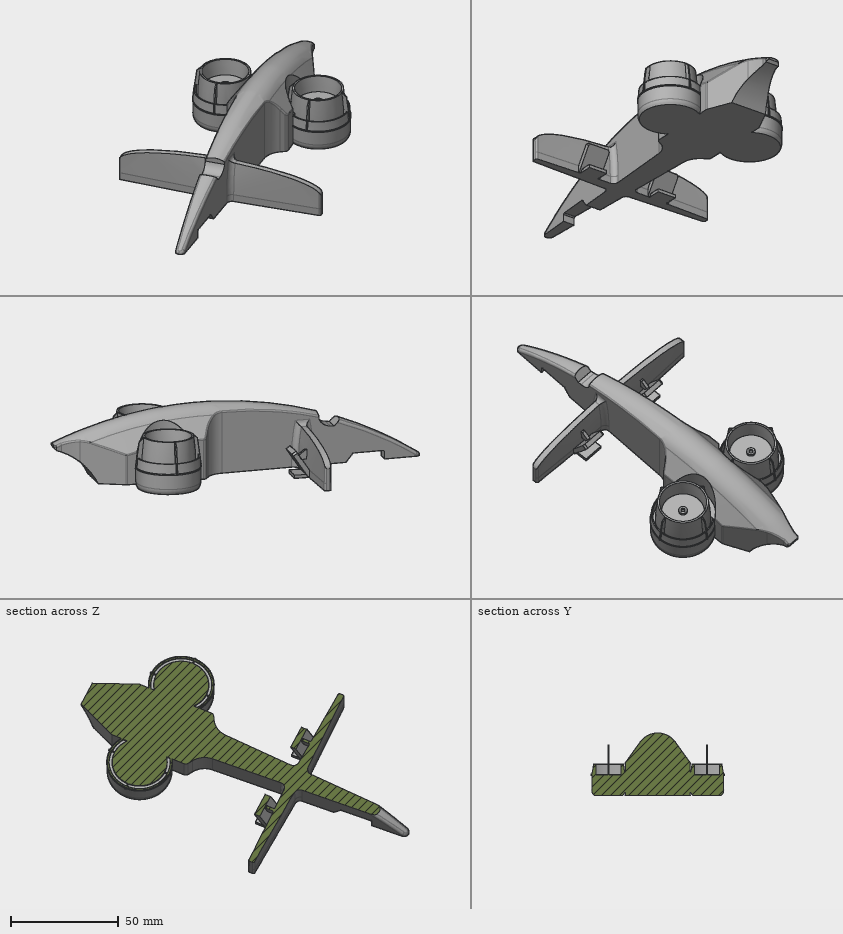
import cadquery as cq
import math

LENGTH = 177.39
HEIGHT = 32.98
WING_SPAN = 100.0
CUTTER_HALF_WIDTH = 60.0
TRIM_MARGIN = 1.0
TOLERANCE = 0.01

TAIL_TIP_HALF_WIDTH = 2.3
TAIL_TIP_FLAT = 0.1
NECK_HALF_WIDTH, NECK_Y = 7.2, 97.5
FLARE_ANGLE = math.radians(60)
FLARE_RADIUS = 10.0
BODY_HALF_WIDTH = 15.2
BODY_FRONT_Y = 145.6
BEAK_ROOT_HALF_WIDTH, BEAK_ROOT_Y = 6.3, 165.8
BEAK_HALF_WIDTH, BEAK_Y = 3.6, 174.0
BEAK_CORNER = 0.9

SPINE_RADIUS = 187.0
SPINE_PEAK_Y = 104.5
SPINE_AXIS_Z = HEIGHT - SPINE_RADIUS
CROWN_HALF_WIDTH = 8.2
CROWN_DROP = 4.15
CROWN_RADIUS = (CROWN_HALF_WIDTH**2 + CROWN_DROP**2) / (2 * CROWN_DROP)
SHOULDER_SLOPE = CROWN_HALF_WIDTH / (CROWN_RADIUS - CROWN_DROP)
ROOF_HALF_WIDTH = 18.0
SWEEP_MARGIN = 10.0
ROOF_EDGE_FILLET = 1.0
TAIL_EDGE_FILLET = 1.5
BODY_CORNER_FILLET = 2.0

BEAK_UNDERSIDE = [(157.9, 0.0), (166.0, 10.3), (176.3, 15.6)]
BEAK_TIP_Z = 17.0
NOTCH_FRONT_Y, NOTCH_STEP_Z = 49.8, 22.3
NOTCH_ARC_MID = (47.8, 19.6)
NOTCH_ARC_END = (44.4, 18.4)
NOTCH_FLOOR_Y, NOTCH_FLOOR_Z = 42.4, 18.1
NOTCH_RAMP_RUN = 6.0
RECESS_REAR_Y, RECESS_TOP_FRONT_Y, RECESS_FRONT_Y = 17.6, 33.1, 36.6
RECESS_HEIGHT = 4.2
RECESS_CORNER = 0.6

WING_Y = 57.8
WING_TIP_Z = 10.5
WING_TOP_Z = 20.0
WING_BASE_Z = 3.7
WING_ROOT_BASE, WING_ROOT_TOP = 3.1, 1.4
WING_END_BASE, WING_END_TOP = 1.6, 1.2
WING_BULGE = 0.25
WING_TIP_FILLET = 0.9
WING_ROOT_FILLET = 2.6

FLAP_X = 20.0
FLAP_WIDTH = 12.0
FLAP_TOP_Y, FLAP_TOP_Z = 66.5, 13.2
FLAP_FOOT_Y, FLAP_FOOT_Z = 58.7, 1.6
FLAP_THICKNESS = 2.4
FLAP_CORNER = 0.9
FLAP_RIB_WIDTH = 1.6
FLAP_RIB_TOP_Z, FLAP_RIB_KNEE_Z, FLAP_RIB_BOTTOM_Z = 12.3, 9.6, 7.8
FLAP_RIB_TOP_Y, FLAP_RIB_KNEE_Y = 60.8, 64.4
FLAP_PAD_WIDTH, FLAP_PAD_FRONT_Y, FLAP_PAD_HEIGHT = 10.0, 67.2, 1.6

ENGINE_X, ENGINE_Y = 23.0, 127.7
ENGINE_HEIGHT = 24.6
BARREL_RADIUS = 15.2
BARREL_BASE_RADIUS = 14.5
BARREL_BASE_Z = 2.7
BARREL_BASE_BULGE = (14.95, 0.9)
BAND_Z, BAND_WIDTH, BAND_PROUD = 9.8, 0.6, 0.2
RIM_Z, RIM_RADIUS, RIM_THICKNESS = 14.8, 14.8, 0.6
CUP_TOP_RADIUS, CUP_BASE_RADIUS = 11.9, 12.9
CUP_WAIST = (12.6, 18.0)
CUP_WALL = 0.9
CUP_FLOOR_RADIUS = 10.0
CUP_FLOOR_Z = 16.8
HUB_RADIUS, HUB_HEIGHT, HUB_HOLE_RADIUS = 2.0, 1.2, 1.0
FIN_THICKNESS = 0.6
FIN_TOP_RADIUS, FIN_SHOULDER_RADIUS, FIN_SHOULDER_Z = 12.0, 14.1, 22.5
FIN_BASE_RADIUS = 15.9


def mirrored(solid):
    """The solid joined with its mirror image across the centre plane."""
    return solid.union(solid.mirror("YZ"))


def plan_prism():
    """Plan outline of the fuselage, extruded to full height."""
    diagonal = TAIL_TIP_HALF_WIDTH * math.sqrt(0.5)
    tip_arc_middle = (diagonal, TAIL_TIP_HALF_WIDTH - diagonal)
    neck_lean = math.atan2(NECK_HALF_WIDTH - TAIL_TIP_HALF_WIDTH, NECK_Y - TAIL_TIP_HALF_WIDTH)
    flare_x = NECK_HALF_WIDTH + FLARE_RADIUS * (math.cos(neck_lean) - math.cos(FLARE_ANGLE))
    flare_y = NECK_Y + FLARE_RADIUS * (math.sin(FLARE_ANGLE) - math.sin(neck_lean))
    body_rear_y = flare_y + (BODY_HALF_WIDTH - flare_x) / math.tan(FLARE_ANGLE)
    half = (
        cq.Workplane("XY")
        .lineTo(TAIL_TIP_FLAT, 0)
        .threePointArc(tip_arc_middle, (TAIL_TIP_HALF_WIDTH, TAIL_TIP_HALF_WIDTH))
        .lineTo(NECK_HALF_WIDTH, NECK_Y)
        .tangentArcPoint((flare_x, flare_y), relative=False)
        .lineTo(BODY_HALF_WIDTH, body_rear_y)
        .lineTo(BODY_HALF_WIDTH, BODY_FRONT_Y)
        .lineTo(BEAK_ROOT_HALF_WIDTH, BEAK_ROOT_Y)
        .tangentArcPoint((BEAK_HALF_WIDTH, BEAK_Y), relative=False)
        .lineTo(BEAK_HALF_WIDTH, LENGTH - BEAK_CORNER)
        .lineTo(BEAK_HALF_WIDTH - BEAK_CORNER, LENGTH)
        .lineTo(0, LENGTH)
        .close()
        .extrude(HEIGHT)
    )
    return mirrored(half)


def roof():
    """Crowned section with sloping shoulders, swept round the spine arc."""
    edge_z = HEIGHT - CROWN_DROP
    outer_z = edge_z - SHOULDER_SLOPE * (ROOF_HALF_WIDTH - CROWN_HALF_WIDTH)
    sweep = 2 * math.degrees(math.asin(SPINE_PEAK_Y / SPINE_RADIUS)) + SWEEP_MARGIN
    section = (
        cq.Workplane("XZ", origin=(0, SPINE_PEAK_Y, 0))
        .moveTo(-ROOF_HALF_WIDTH, -HEIGHT)
        .lineTo(-ROOF_HALF_WIDTH, outer_z)
        .lineTo(-CROWN_HALF_WIDTH, edge_z)
        .threePointArc((0, HEIGHT), (CROWN_HALF_WIDTH, edge_z))
        .lineTo(ROOF_HALF_WIDTH, outer_z)
        .lineTo(ROOF_HALF_WIDTH, -HEIGHT)
        .close()
    )
    solid = section.revolve(sweep, (0, SPINE_AXIS_Z, 0), (1, SPINE_AXIS_Z, 0))
    return solid.rotate((0, SPINE_PEAK_Y, SPINE_AXIS_Z), (1, SPINE_PEAK_Y, SPINE_AXIS_Z), -sweep / 2)


def beak_trim():
    """Tool that hollows the underside of the beak."""
    start, middle, end = BEAK_UNDERSIDE
    return (
        cq.Workplane("YZ", origin=(-CUTTER_HALF_WIDTH, 0, 0))
        .moveTo(*start)
        .threePointArc(middle, end)
        .lineTo(LENGTH, BEAK_TIP_Z)
        .lineTo(LENGTH + TRIM_MARGIN, BEAK_TIP_Z)
        .lineTo(LENGTH + TRIM_MARGIN, 0)
        .close()
        .extrude(2 * CUTTER_HALF_WIDTH)
    )


def tail_notch():
    """Tool for the saddle cut through the spine ahead of the tail."""
    return (
        cq.Workplane("YZ", origin=(-CUTTER_HALF_WIDTH, 0, 0))
        .moveTo(NOTCH_FRONT_Y, HEIGHT)
        .lineTo(NOTCH_FRONT_Y, NOTCH_STEP_Z)
        .threePointArc(NOTCH_ARC_MID, NOTCH_ARC_END)
        .lineTo(NOTCH_FLOOR_Y, NOTCH_FLOOR_Z)
        .lineTo(NOTCH_FLOOR_Y - NOTCH_RAMP_RUN, NOTCH_FLOOR_Z + NOTCH_RAMP_RUN)
        .lineTo(NOTCH_FLOOR_Y - NOTCH_RAMP_RUN, HEIGHT)
        .close()
        .extrude(2 * CUTTER_HALF_WIDTH)
    )


def bottom_recess():
    """Tool for the shallow recess under the tail."""
    return (
        cq.Workplane("YZ", origin=(-CUTTER_HALF_WIDTH, 0, 0))
        .moveTo(RECESS_REAR_Y, 0)
        .lineTo(RECESS_REAR_Y, RECESS_HEIGHT - RECESS_CORNER)
        .lineTo(RECESS_REAR_Y + RECESS_CORNER, RECESS_HEIGHT)
        .lineTo(RECESS_TOP_FRONT_Y, RECESS_HEIGHT)
        .lineTo(RECESS_FRONT_Y, 0)
        .close()
        .extrude(2 * CUTTER_HALF_WIDTH)
    )


def lies_on_roof(point):
    """True if the point is on the roof surface, measured from the spine axis."""
    x = abs(point.x)
    if x < CROWN_HALF_WIDTH:
        fall = CROWN_RADIUS - math.sqrt(CROWN_RADIUS**2 - x**2)
    else:
        fall = CROWN_DROP + SHOULDER_SLOPE * (x - CROWN_HALF_WIDTH)
    distance = math.hypot(point.y - SPINE_PEAK_Y, point.z - SPINE_AXIS_Z)
    return math.isclose(distance, SPINE_RADIUS - fall, abs_tol=TOLERANCE)


def is_crown_line(edge):
    """True for the smooth seams between the crown and the shoulders."""
    ends = (edge.startPoint(), edge.endPoint())
    return all(math.isclose(abs(end.x), CROWN_HALF_WIDTH, abs_tol=TOLERANCE) for end in ends)


def is_roof_edge(edge):
    """True for the edges along either flank where the walls meet the roof."""
    on_roof = lies_on_roof(edge.startPoint()) and lies_on_roof(edge.endPoint())
    return on_roof and abs(edge.Center().x) > TAIL_TIP_FLAT and not is_crown_line(edge)


def is_front_roof_edge(edge):
    return is_roof_edge(edge) and edge.Center().y > NOTCH_FRONT_Y


def is_tail_roof_edge(edge):
    return is_roof_edge(edge) and TAIL_TIP_HALF_WIDTH < edge.Center().y < NOTCH_FLOOR_Y


def is_body_corner(edge):
    """True for the upright edges at the widest part of the fuselage."""
    return math.isclose(abs(edge.Center().x), BODY_HALF_WIDTH, abs_tol=TOLERANCE)


def fillet_where(solid, radius, test):
    """Round the edges of the solid that pass the test."""
    chosen = [edge for edge in solid.edges().vals() if test(edge)]
    return solid.newObject(chosen).fillet(radius)


def fuselage():
    """Main body with its rounded roof edges."""
    body = plan_prism().edges("|Z").filter(is_body_corner).fillet(BODY_CORNER_FILLET)
    body = body.intersect(roof()).cut(beak_trim()).cut(tail_notch()).cut(bottom_recess())
    body = fillet_where(body, ROOF_EDGE_FILLET, is_front_roof_edge)
    return fillet_where(body, TAIL_EDGE_FILLET, is_tail_roof_edge)


def engine_clearance(side):
    """Tool that clears the shoulder beside the engine above the barrel rim."""
    return (
        cq.Workplane("XY", origin=(side * ENGINE_X, ENGINE_Y, RIM_Z))
        .circle(BARREL_RADIUS)
        .extrude(HEIGHT)
    )


def wing_section(x, base, top):
    """Wire across the wing at X = x: upright at the base, bulging sides, flat top."""
    middle = (base + top) / 2 + WING_BULGE * (base - top)
    middle_z = (WING_BASE_Z + WING_TOP_Z) / 2
    return (
        cq.Workplane("YZ", origin=(x, WING_Y, 0))
        .moveTo(-base, 0)
        .lineTo(-base, WING_BASE_Z)
        .threePointArc((-middle, middle_z), (-top, WING_TOP_Z))
        .lineTo(top, WING_TOP_Z)
        .threePointArc((middle, middle_z), (base, WING_BASE_Z))
        .lineTo(base, 0)
        .close()
        .val()
    )


def half_wing():
    """One wing, lofted thin towards the tip and trimmed to a quarter-ellipse top."""
    tip_x = WING_SPAN / 2
    root = wing_section(0, WING_ROOT_BASE, WING_ROOT_TOP)
    tip = wing_section(tip_x, WING_END_BASE, WING_END_TOP)
    blade = cq.Workplane(cq.Solid.makeLoft([root, tip], True))
    blade = blade.faces(">X").edges("not |Y").fillet(WING_TIP_FILLET)
    outline = (
        cq.Workplane("XZ", origin=(0, WING_Y + 2 * WING_ROOT_BASE, 0))
        .lineTo(tip_x, 0)
        .lineTo(tip_x, WING_TIP_Z)
        .ellipseArc(tip_x, WING_TOP_Z - WING_TIP_Z, 0, 90, startAtCurrent=True)
        .close()
        .extrude(4 * WING_ROOT_BASE)
    )
    return blade.intersect(outline)


def wings():
    return mirrored(half_wing())


def is_wing_root_edge(edge):
    """True for the edges where the wing meets the fuselage wall."""
    box = edge.BoundingBox()
    within_wing = abs(edge.Center().y - WING_Y) < WING_ROOT_BASE and box.ylen < 2 * WING_ROOT_BASE
    on_flank = TAIL_TIP_HALF_WIDTH < abs(edge.Center().x) < NECK_HALF_WIDTH
    return within_wing and on_flank and box.zmax > TOLERANCE


def flap():
    """Leaning plate ahead of the wing, with its rib and foot pad."""
    run, rise = FLAP_TOP_Y - FLAP_FOOT_Y, FLAP_TOP_Z - FLAP_FOOT_Z
    slant = math.hypot(run, rise)
    lean = math.degrees(math.atan2(run, rise))
    plate = (
        cq.Workplane("XY")
        .box(FLAP_WIDTH, FLAP_THICKNESS, slant, centered=(True, False, False))
        .edges("|Y and >Z")
        .chamfer(FLAP_CORNER)
        .rotate((0, 0, 0), (1, 0, 0), -lean)
        .translate((FLAP_X, FLAP_FOOT_Y, FLAP_FOOT_Z))
    )
    rib = (
        cq.Workplane("YZ", origin=(FLAP_X, 0, 0))
        .moveTo(WING_Y, FLAP_RIB_TOP_Z)
        .lineTo(FLAP_RIB_TOP_Y, FLAP_RIB_TOP_Z)
        .lineTo(FLAP_RIB_KNEE_Y, FLAP_RIB_KNEE_Z)
        .lineTo(FLAP_RIB_KNEE_Y, FLAP_RIB_BOTTOM_Z)
        .lineTo(WING_Y, FLAP_RIB_BOTTOM_Z)
        .close()
        .extrude(FLAP_RIB_WIDTH / 2, both=True)
    )
    pad = cq.Workplane("XY", origin=(FLAP_X, WING_Y, 0)).box(
        FLAP_PAD_WIDTH, FLAP_PAD_FRONT_Y - WING_Y, FLAP_PAD_HEIGHT, centered=(True, False, False)
    )
    return plate.union(rib).union(pad)


def engine():
    """Barrel with an inner cup, a hub and four radial fins."""
    profile = (
        cq.Workplane("XZ")
        .lineTo(BARREL_BASE_RADIUS, 0)
        .threePointArc(BARREL_BASE_BULGE, (BARREL_RADIUS, BARREL_BASE_Z))
        .lineTo(BARREL_RADIUS, BAND_Z - BAND_WIDTH / 2)
        .lineTo(BARREL_RADIUS + BAND_PROUD, BAND_Z - BAND_WIDTH / 2)
        .lineTo(BARREL_RADIUS + BAND_PROUD, BAND_Z + BAND_WIDTH / 2)
        .lineTo(BARREL_RADIUS, BAND_Z + BAND_WIDTH / 2)
        .lineTo(RIM_RADIUS, RIM_Z)
        .lineTo(RIM_RADIUS - RIM_THICKNESS, RIM_Z)
        .lineTo(RIM_RADIUS - RIM_THICKNESS, BAND_Z)
        .lineTo(CUP_BASE_RADIUS, BAND_Z)
        .threePointArc(CUP_WAIST, (CUP_TOP_RADIUS, ENGINE_HEIGHT))
        .lineTo(CUP_TOP_RADIUS - CUP_WALL, ENGINE_HEIGHT)
        .lineTo(CUP_FLOOR_RADIUS, CUP_FLOOR_Z)
        .lineTo(HUB_RADIUS, CUP_FLOOR_Z)
        .lineTo(HUB_RADIUS, CUP_FLOOR_Z + HUB_HEIGHT)
        .lineTo(HUB_HOLE_RADIUS, CUP_FLOOR_Z + HUB_HEIGHT)
        .lineTo(HUB_HOLE_RADIUS, CUP_FLOOR_Z)
        .lineTo(0, CUP_FLOOR_Z)
        .close()
    )
    solid = profile.revolve(360, (0, 0, 0), (0, 1, 0))
    inner = CUP_TOP_RADIUS - CUP_WALL / 2
    fin = (
        cq.Workplane("XZ")
        .moveTo(inner, BAND_Z)
        .lineTo(inner, ENGINE_HEIGHT)
        .lineTo(FIN_TOP_RADIUS, ENGINE_HEIGHT)
        .lineTo(FIN_SHOULDER_RADIUS, FIN_SHOULDER_Z)
        .lineTo(FIN_BASE_RADIUS, BAND_Z)
        .close()
        .extrude(FIN_THICKNESS / 2, both=True)
    )
    for quarter in range(4):
        solid = solid.union(fin.rotate((0, 0, 0), (0, 0, 1), 90 * quarter))
    return solid.translate((ENGINE_X, ENGINE_Y, 0))


def build():
    body = fuselage().union(wings())
    body = fillet_where(body, WING_ROOT_FILLET, is_wing_root_edge)
    for side in (1, -1):
        body = body.cut(engine_clearance(side))
    return body.union(mirrored(flap())).union(mirrored(engine()))


result = build()